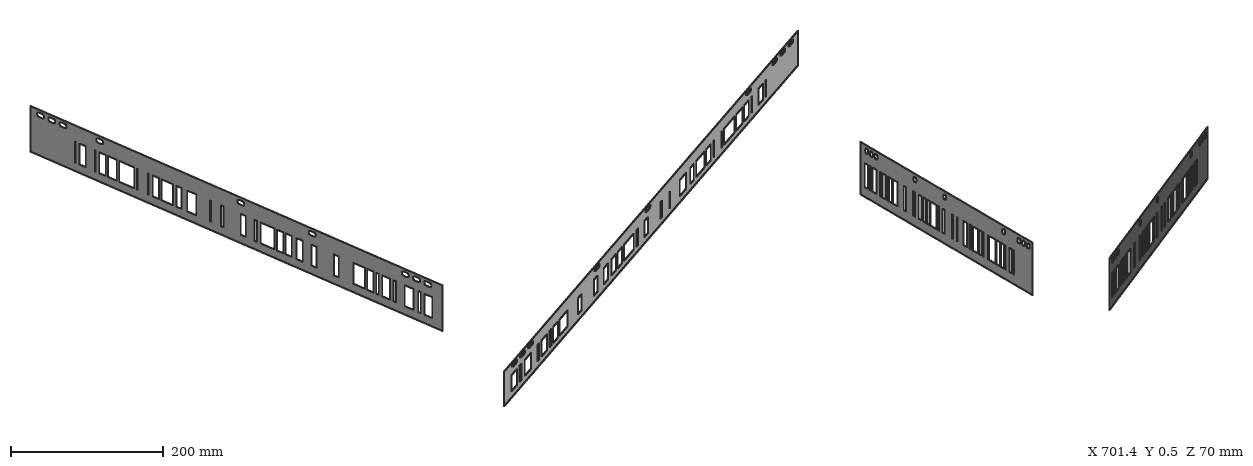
import cadquery as cq

length = 701.4
height = 70.0
thickness = 0.5

left_end = -length / 2
bottom_edge = -height / 2
top_edge = height / 2

window_height = 32.0
window_floor = 13.0

windows_by_width = {
    1.5: [75.5, 109.2, 181.0, 200.0, 305.7],
    4.3: [324.4, 381.4, 588.5, 618.0, 660.0],
    8.5: [248.5, 358.0, 478.5, 516.5],
    10.7: [83.5, 117.2, 208.0, 419.6, 434.0, 453.0, 573.4],
    13.0: [599.0, 671.0],
    15.0: [132.0, 267.0, 637.0],
    19.5: [223.0, 550.0],
    23.5: [392.0],
    25.5: [151.0],
}

slot_length = 12.0
slot_width = 6.5
slot_drop = 7.8

slot_group_pitch = 19.15
slots_per_group = 3
slot_group_starts = [17.1, 638.2]
single_slots = [117.7, 358.0, 479.7]


def slot_distances():
    """Distances from the strip's left end to every slot centre."""
    distances = list(single_slots)
    for start in slot_group_starts:
        for index in range(slots_per_group):
            distances.append(start + index * slot_group_pitch)
    return distances


def through_cutter(profile):
    """Extrude a profile drawn on the XZ plane right through the sheet."""
    return profile.extrude(thickness, both=True)


def strip_blank():
    return cq.Workplane("XY").box(length, thickness, height)


def window_cutter():
    centre_z = bottom_edge + window_floor + window_height / 2
    profile = cq.Workplane("XZ")
    for width, distances in windows_by_width.items():
        centres = [(left_end + distance + width / 2, centre_z) for distance in distances]
        profile = profile.pushPoints(centres).rect(width, window_height)
    return through_cutter(profile)


def slot_cutter():
    centre_z = top_edge - slot_drop
    centres = [(left_end + distance, centre_z) for distance in slot_distances()]
    profile = cq.Workplane("XZ").pushPoints(centres).slot2D(slot_length, slot_width)
    return through_cutter(profile)


result = strip_blank().cut(window_cutter()).cut(slot_cutter())